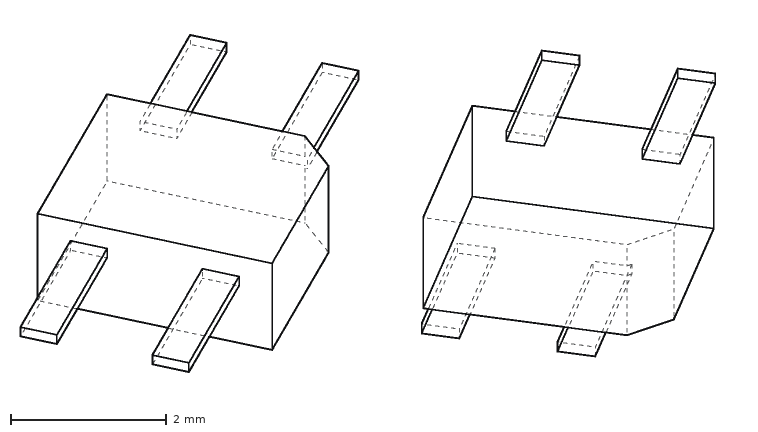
import cadquery as cq

body_width = 3.2
body_length = 2.7
body_height = 1.4
corner_chamfer = 0.5

overall_length = 6.6
lead_pitch = 1.8
lead_width = 0.5
lead_thickness = 0.15
lead_center_height = 1.0


def make_body():
    """Block with the +X, +Y vertical edge chamfered to mark the orientation."""
    block = cq.Workplane("XY").box(body_width, body_length, body_height, centered=(True, True, False))
    return block.edges("|Z").edges(">(1, 1, 0)").chamfer(corner_chamfer)


def make_lead(x):
    """Straight strip passing through the body, forming a pair of opposite leads."""
    strip = cq.Workplane("XY").box(lead_width, overall_length, lead_thickness)
    return strip.translate((x, 0, lead_center_height))


result = make_body()
for side in (-1, 1):
    result = result.union(make_lead(side * lead_pitch / 2))